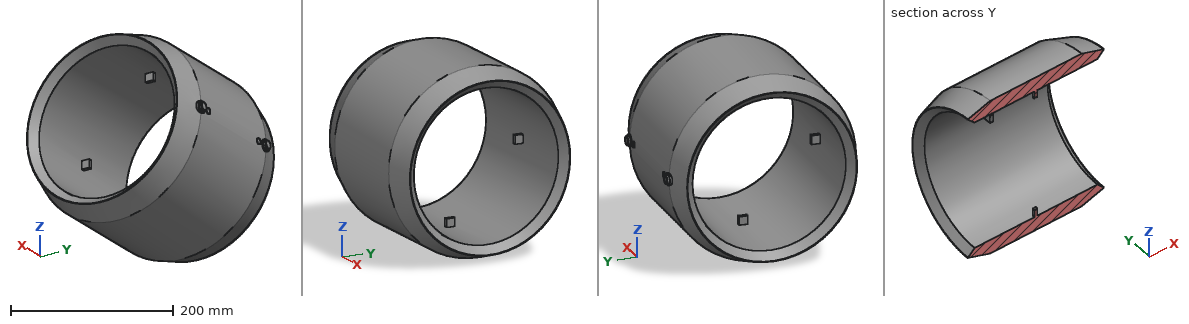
import cadquery as cq

length = 215.5
outer_radius = 122.5
bore_radius = 100.0
taper_length = 35.5
end_radius = 111.3
rim_width = 1.0
countersink_length = 10.5
mouth_radius = end_radius - rim_width

stop_count = 4
stop_length = 5.0
stop_width = 11.5
stop_height = 11.0
stop_radius = bore_radius - stop_height
root_overlap = 2.5

screw_inset = 0.7
screw_x = length / 2 - taper_length - screw_inset
seat_diameter = 16.0
seat_rise = 0.7
seat_top = outer_radius + seat_rise
seat_depth = 5.0
head_diameter = 12.0
head_top = 127.0
head_chamfer = 1.0

screw_to_pin = 15.5
pin_x = screw_x - screw_to_pin
pin_diameter = 8.0


def make_sleeve():
    """Tube with tapered ends and a countersink at each mouth."""
    end = length / 2
    shoulder = end - taper_length
    bore_end = end - countersink_length
    profile = [
        (-end, mouth_radius),
        (-end, end_radius),
        (-shoulder, outer_radius),
        (shoulder, outer_radius),
        (end, end_radius),
        (end, mouth_radius),
        (bore_end, bore_radius),
        (-bore_end, bore_radius),
    ]
    return cq.Workplane("XY").polyline(profile).close().revolve(360, (0, 0, 0), (1, 0, 0))


def rod_along_y(diameter, x, y_start, y_end):
    """Round rod parallel to Y, centred on Z = 0."""
    return (
        cq.Workplane("XZ", origin=(x, y_start, 0))
        .circle(diameter / 2)
        .extrude(y_start - y_end)
    )


def make_stops():
    """Ring of radial blocks whose inner faces are round about X."""
    outer = bore_radius + root_overlap
    block = cq.Workplane("XY").box(stop_length, stop_width, outer, centered=(True, True, False))
    stops = cq.Workplane("XY")
    for index in range(stop_count):
        angle = index * 360 / stop_count
        stops = stops.add(block.rotate((0, 0, 0), (1, 0, 0), angle))
    clearance = cq.Workplane("YZ").circle(stop_radius).extrude(stop_length, both=True)
    return stops.combine().cut(clearance)


def make_screw(x):
    """Chamfered round head standing on a wider round seat sunk into the wall."""
    seat = rod_along_y(seat_diameter, x, seat_top - seat_depth, seat_top)
    head = rod_along_y(head_diameter, x, seat_top, head_top).faces(">Y").chamfer(head_chamfer)
    return seat.union(head)


def make_pin(x):
    """Pin that stands level with the screw seats."""
    return rod_along_y(pin_diameter, x, seat_top - seat_depth, seat_top)


result = make_sleeve().union(make_stops())
for side in (-1, 1):
    result = result.union(make_screw(side * screw_x)).union(make_pin(side * pin_x))